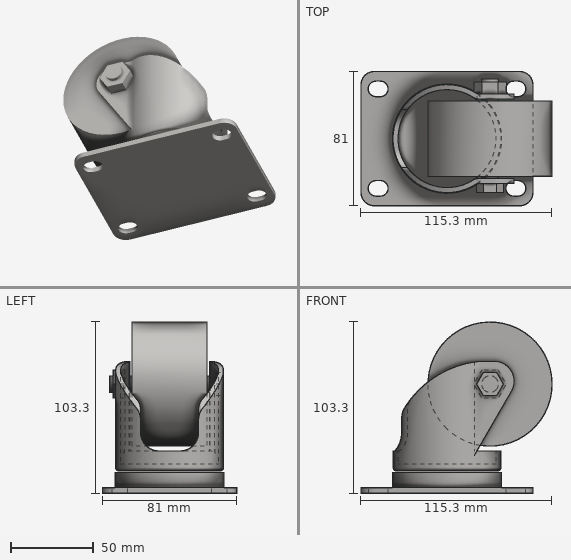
import cadquery as cq
import math

PLATE_LENGTH = 103.8
PLATE_WIDTH = 81.0
PLATE_THICKNESS = 3.5
PLATE_CORNER_RADIUS = 8.1
SLOT_LENGTH = 11.9
SLOT_WIDTH = 9.2
SLOT_PITCH_X = 83.0
SLOT_PITCH_Y = 60.0
BOSS_DIAMETER = 66.0
BOSS_HEIGHT = 9.2

TOTAL_LENGTH = 115.3
TOTAL_HEIGHT = 103.3
WHEEL_RADIUS = 37.5
WHEEL_WIDTH = 45.4
AXLE_DIAMETER = 10.0
AXLE_END_Y = 36.1
HEAD_FLATS = 14.0
HEAD_HEIGHT = 5.5
NUT_FLATS = 17.0
NUT_HEIGHT = 7.0
wheel_x = TOTAL_LENGTH - PLATE_LENGTH / 2 - WHEEL_RADIUS
wheel_z = TOTAL_HEIGHT - WHEEL_RADIUS

SWIVEL_GAP = 0.8
CUP_RADIUS = 32.5
WALL = 3.0
FLOOR_THICKNESS = 4.0
CUP_RIM_Z = 25.6
CUP_BOTTOM_FILLET = 2.0
EAR_OUTER_Y = 27.0
OUTER_BEND_RADIUS = 7.8
INNER_BEND_RADIUS = 3.5
EAR_RADIUS = 12.0
EAR_X = 28.5
EAR_EDGE_ANGLE = 60.0
FORK_TOP_Z = 79.5
CROWN_RADIUS = 60.0
CROWN_X = 25.4
NOTCH_WIDTH = 35.0
NOTCH_CORNER_RADIUS = 11.1
NOTCH_LIP_FILLET = 1.8

boss_top_z = PLATE_THICKNESS + BOSS_HEIGHT
cup_bottom_z = boss_top_z + SWIVEL_GAP
cup_floor_z = cup_bottom_z + FLOOR_THICKNESS
ear_tip_x = EAR_X + EAR_RADIUS


def bend_angle(cup_radius, bend_radius, ear_y):
    """Angle of the bend that is tangent to the cup wall and to the ear face at ear_y."""
    return math.acos((ear_y + bend_radius) / (cup_radius + bend_radius))


outer_bend_angle = bend_angle(CUP_RADIUS, OUTER_BEND_RADIUS, EAR_OUTER_Y)
bend_start_x = CUP_RADIUS * math.sin(outer_bend_angle)
bend_end_x = (CUP_RADIUS + OUTER_BEND_RADIUS) * math.sin(outer_bend_angle)


def make_base():
    plate = (
        cq.Workplane("XY")
        .rect(PLATE_LENGTH, PLATE_WIDTH)
        .extrude(PLATE_THICKNESS)
        .edges("|Z")
        .fillet(PLATE_CORNER_RADIUS)
    )
    slots = (
        cq.Workplane("XY")
        .rarray(SLOT_PITCH_X, SLOT_PITCH_Y, 2, 2)
        .slot2D(SLOT_LENGTH, SLOT_WIDTH)
        .extrude(PLATE_THICKNESS)
    )
    boss = (
        cq.Workplane("XY", origin=(0, 0, PLATE_THICKNESS))
        .circle(BOSS_DIAMETER / 2)
        .extrude(BOSS_HEIGHT)
    )
    return plate.cut(slots).union(boss)


def wall_footprint(cup_radius, bend_radius, ear_y):
    """Solid enclosed by one face of the fork wall: round at -X, flat at the ears."""
    angle = bend_angle(cup_radius, bend_radius, ear_y)
    start_x = cup_radius * math.sin(angle)
    start_y = cup_radius * math.cos(angle)
    end_x = (cup_radius + bend_radius) * math.sin(angle)
    mid_x = end_x - bend_radius * math.sin(angle / 2)
    mid_y = ear_y + bend_radius * (1 - math.cos(angle / 2))
    return (
        cq.Workplane("XY", origin=(0, 0, cup_floor_z))
        .moveTo(start_x, -start_y)
        .threePointArc((-cup_radius, 0), (start_x, start_y))
        .threePointArc((mid_x, mid_y), (end_x, ear_y))
        .lineTo(ear_tip_x, ear_y)
        .lineTo(ear_tip_x, -ear_y)
        .lineTo(end_x, -ear_y)
        .threePointArc((mid_x, -mid_y), (start_x, -start_y))
        .close()
        .extrude(FORK_TOP_Z - cup_floor_z)
    )


def fork_side_profile():
    """Side outline of the fork wall: crown curve, rounded ear and sloping rear edge."""
    edge = math.radians(EAR_EDGE_ANGLE)
    ear_z = FORK_TOP_Z - EAR_RADIUS
    tangent_x = EAR_X + EAR_RADIUS * math.sin(edge)
    tangent_z = ear_z - EAR_RADIUS * math.cos(edge)
    foot_x = tangent_x - (tangent_z - cup_floor_z) / math.tan(edge)
    crown_center_z = FORK_TOP_Z - math.sqrt(CROWN_RADIUS**2 - (bend_end_x - CROWN_X) ** 2)
    crown_end_x = -CUP_RADIUS
    crown_end_z = crown_center_z + math.sqrt(CROWN_RADIUS**2 - (crown_end_x - CROWN_X) ** 2)
    crown_mid_z = crown_center_z + math.sqrt(CROWN_RADIUS**2 - CROWN_X**2)
    return (
        cq.Workplane("XZ")
        .moveTo(crown_end_x, cup_floor_z)
        .lineTo(crown_end_x, crown_end_z)
        .threePointArc((0, crown_mid_z), (bend_end_x, FORK_TOP_Z))
        .lineTo(EAR_X, FORK_TOP_Z)
        .threePointArc((ear_tip_x, ear_z), (tangent_x, tangent_z))
        .lineTo(foot_x, cup_floor_z)
        .close()
        .extrude(CUP_RADIUS, both=True)
    )


def notch():
    """U-shaped opening through the -X side of the fork wall."""
    height = FORK_TOP_Z - CUP_RIM_Z
    return (
        cq.Workplane("XY")
        .box(CUP_RADIUS, NOTCH_WIDTH, height, centered=(False, True, False))
        .translate((-CUP_RADIUS, 0, CUP_RIM_Z))
        .edges("|X and <Z")
        .fillet(NOTCH_CORNER_RADIUS)
    )


def lip_edges(solid):
    """The two edges where the notch sides meet the crown curve."""
    edges = []
    for edge in solid.edges("%CIRCLE").vals():
        on_notch_side = abs(abs(edge.Center().y) - NOTCH_WIDTH / 2) < 0.01
        if on_notch_side and edge.Center().z > CUP_RIM_Z + NOTCH_CORNER_RADIUS:
            edges.append(edge)
    return edges


def behind_bend():
    """Block covering the fork from the start of the bends towards +X."""
    return (
        cq.Workplane("XY")
        .box(ear_tip_x, 2 * CUP_RADIUS, FORK_TOP_Z, centered=(False, True, False))
        .translate((bend_start_x, 0, 0))
    )


def make_cup():
    """Round cup with a wall that rises above the rim up to the crown curve."""
    cup = (
        cq.Workplane("XY", origin=(0, 0, cup_bottom_z))
        .circle(CUP_RADIUS)
        .extrude(FORK_TOP_Z - cup_bottom_z)
    )
    cavity = (
        cq.Workplane("XY", origin=(0, 0, cup_floor_z))
        .circle(CUP_RADIUS - WALL)
        .extrude(FORK_TOP_Z - cup_floor_z)
    )
    above_rim = (
        cq.Workplane("XY", origin=(0, 0, CUP_RIM_Z))
        .rect(2 * CUP_RADIUS, 2 * CUP_RADIUS)
        .extrude(FORK_TOP_Z - CUP_RIM_Z)
    )
    raised_wall = fork_side_profile().cut(behind_bend())
    cup = cup.cut(cavity).cut(above_rim.cut(raised_wall)).cut(notch())
    cup = cup.newObject(lip_edges(cup)).fillet(NOTCH_LIP_FILLET)
    return cup.faces("<Z").edges().fillet(CUP_BOTTOM_FILLET)


def make_ears():
    outer = wall_footprint(CUP_RADIUS, OUTER_BEND_RADIUS, EAR_OUTER_Y)
    inner = wall_footprint(CUP_RADIUS - WALL, INNER_BEND_RADIUS, EAR_OUTER_Y - WALL)
    return outer.cut(inner).intersect(fork_side_profile()).intersect(behind_bend())


def axle_plane(start_y):
    """Sketch plane across the axle at start_y, extruding towards +Y."""
    return cq.Workplane(
        cq.Plane(origin=(wheel_x, start_y, wheel_z), xDir=(1, 0, 0), normal=(0, 1, 0))
    )


def hexagon(start_y, flats, height):
    corners = flats / math.cos(math.pi / 6)
    return axle_plane(start_y).polygon(6, corners).extrude(height)


def make_wheel_unit():
    """Fork cup and ears, wheel, axle, bolt head and nut as one joined body."""
    head_start_y = -EAR_OUTER_Y - HEAD_HEIGHT
    wheel = axle_plane(-WHEEL_WIDTH / 2).circle(WHEEL_RADIUS).extrude(WHEEL_WIDTH)
    axle = axle_plane(-EAR_OUTER_Y).circle(AXLE_DIAMETER / 2).extrude(EAR_OUTER_Y + AXLE_END_Y)
    head = hexagon(head_start_y, HEAD_FLATS, HEAD_HEIGHT)
    nut = hexagon(EAR_OUTER_Y, NUT_FLATS, NUT_HEIGHT)
    return make_cup().union(make_ears()).union(wheel).union(axle).union(head).union(nut)


base = make_base()
wheel_unit = make_wheel_unit()
result = cq.Compound.makeCompound([base.val(), *wheel_unit.vals()])